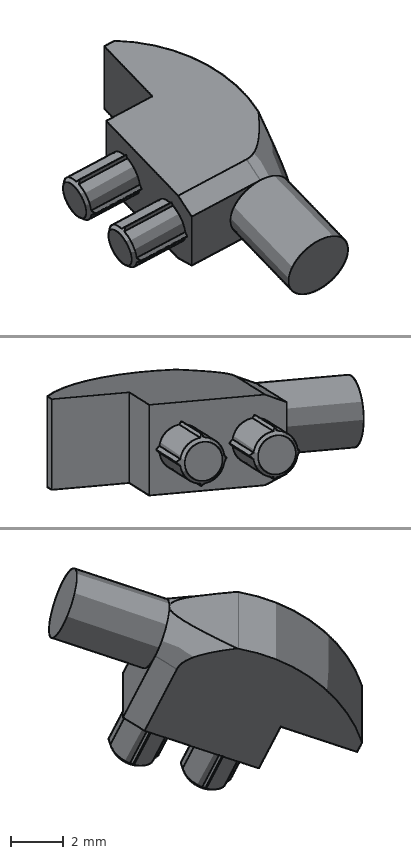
import cadquery as cq
import math


body_height = 3.56
body_end_x = 8.76
base_y = -3.2
step_x = 3.15
step_y = -1.04
tip_y = -0.55
crown_x = 4.99
crown_y = 1.9
arc_end_x = 6.1

tube_radius = 1.4
tube_end_x = 12.57
taper_start_x = 7.87

pin_centers_x = (4.46, 7.44)
pin_end_y = -5.62
pin_radius = 0.9
pin_chamfer = 0.14
rib_tip_radius = 1.03
side_rib_flank_angle = 45
vertical_rib_flank_angle = 33

half_height = body_height / 2
crown_rise = crown_y - tip_y
arc_radius = (crown_x**2 + crown_rise**2) / (2 * crown_rise)


def arc_y(x):
    """Height of the crown arc at a given X."""
    return crown_y - arc_radius + math.sqrt(arc_radius**2 - (x - crown_x) ** 2)


def make_body():
    """Extruded outline with the rounded back and the stepped front."""
    mid_x = crown_x / 2
    return (
        cq.Workplane("XY")
        .workplane(offset=-half_height)
        .moveTo(0, tip_y)
        .threePointArc((mid_x, arc_y(mid_x)), (arc_end_x, arc_y(arc_end_x)))
        .lineTo(body_end_x, tube_radius)
        .lineTo(body_end_x, base_y)
        .lineTo(step_x, base_y)
        .lineTo(step_x, step_y)
        .lineTo(0, step_y)
        .close()
        .extrude(body_height)
    )


def make_taper_envelope():
    """Conical around the tube axis behind it, flat bevels in front of it."""
    slope = (half_height - tube_radius) / (body_end_x - taper_start_x)
    start_radius = tube_radius + slope * body_end_x
    half_profile = (
        cq.Workplane("XY")
        .polyline([(0, 0), (body_end_x, 0), (body_end_x, tube_radius), (0, start_radius)])
        .close()
    )
    cone = half_profile.revolve(360, (0, 0, 0), (1, 0, 0))
    bevels = (
        cq.Workplane("XZ")
        .polyline([
            (0, -start_radius),
            (body_end_x, -tube_radius),
            (body_end_x, tube_radius),
            (0, start_radius),
        ])
        .close()
        .extrude(-base_y)
    )
    return cone.union(bevels)


def make_tube():
    """Round stub, started inside the body so that the two overlap."""
    return (
        cq.Workplane("YZ")
        .workplane(offset=taper_start_x)
        .circle(tube_radius)
        .extrude(tube_end_x - taper_start_x)
    )


def make_rib(base_plane, length, flank_angle):
    """Pointed rib facing +X, with its foot sunk into the pin."""
    rib_depth = 2 * (rib_tip_radius - pin_radius)
    foot_radius = rib_tip_radius - rib_depth
    half_width = rib_depth * math.tan(math.radians(flank_angle))
    return (
        base_plane
        .polyline([(rib_tip_radius, 0), (foot_radius, half_width), (foot_radius, -half_width)])
        .close()
        .extrude(length)
    )


def make_pin(center_x):
    """Round pin with pointed lengthwise ribs and a chamfered free end."""
    pin_length = base_y - pin_end_y
    base_plane = cq.Workplane("XZ", origin=(center_x, base_y, 0))
    pin = base_plane.circle(pin_radius).extrude(pin_length)

    axis_start = (center_x, 0, 0)
    axis_end = (center_x, 1, 0)
    for flank_angle, first_direction in ((side_rib_flank_angle, 0), (vertical_rib_flank_angle, 90)):
        rib = make_rib(base_plane, pin_length, flank_angle)
        for direction in (first_direction, first_direction + 180):
            pin = pin.union(rib.rotate(axis_start, axis_end, direction))

    envelope_chamfer = pin_chamfer + rib_tip_radius - pin_radius
    envelope = (
        base_plane.circle(rib_tip_radius).extrude(pin_length)
        .faces("<Y").chamfer(envelope_chamfer)
    )
    return pin.intersect(envelope)


result = make_body().intersect(make_taper_envelope()).union(make_tube())
for pin_x in pin_centers_x:
    result = result.union(make_pin(pin_x))